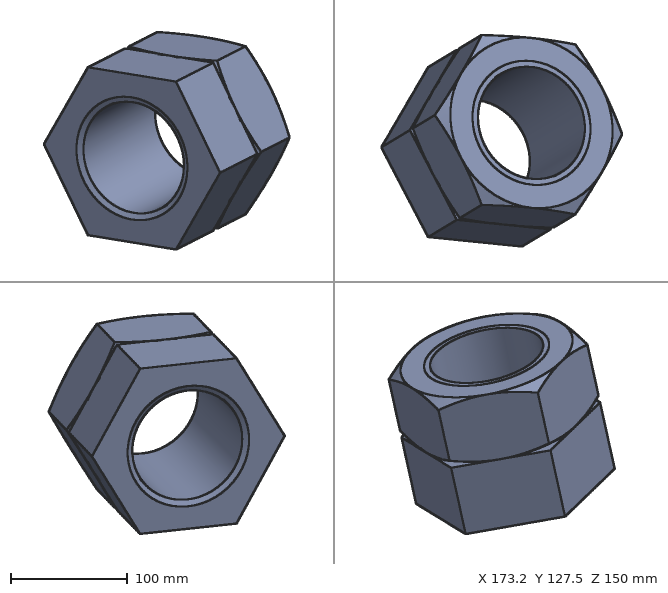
import cadquery as cq
import math

corner_width = 173.2
flat_width = corner_width * math.cos(math.radians(30))

total_length = 127.5
head_length = 64.6
nut_length = total_length - head_length

cone_slope = math.tan(math.radians(30))

bore_diameter = 98.7
countersink_diameter = 109.1
countersink_depth = (countersink_diameter - bore_diameter) / 2 * cone_slope

sleeve_wall = 5.2
sleeve_diameter = bore_diameter + 2 * sleeve_wall

crown_height = (corner_width - flat_width) / 2 * cone_slope

front_y = -total_length / 2
joint_y = front_y + head_length
rear_y = front_y + total_length


def spin_about_y(points):
    """Spin a closed (radius, y) outline about the Y axis."""
    return cq.Workplane("XY").polyline(points).close().revolve(360, (0, 0, 0), (0, 1, 0))


def hexagon(start_y, length):
    """Hexagonal prism running in +Y from start_y."""
    return (
        cq.Workplane("XZ", origin=(0, start_y, 0))
        .polygon(6, corner_width)
        .extrude(-length)
    )


def cylinder(diameter, start_y, length):
    """Round bar running in +Y from start_y."""
    return (
        cq.Workplane("XZ", origin=(0, start_y, 0))
        .circle(diameter / 2)
        .extrude(-length)
    )


def bore_cutter():
    """Through bore with a countersink at the front face."""
    bore_radius = bore_diameter / 2
    return spin_about_y([
        (0, front_y),
        (countersink_diameter / 2, front_y),
        (bore_radius, front_y + countersink_depth),
        (bore_radius, rear_y),
        (0, rear_y),
    ])


def crown_envelope():
    """Round blank whose two conical ends chamfer the corners of the nut."""
    face_radius = flat_width / 2
    corner_radius = corner_width / 2
    return spin_about_y([
        (0, joint_y),
        (face_radius, joint_y),
        (corner_radius, joint_y + crown_height),
        (corner_radius, rear_y - crown_height),
        (face_radius, rear_y),
        (0, rear_y),
    ])


def make_hex_fitting():
    """Sharp-edged hexagon head with a sleeve behind it, bored right through."""
    head = hexagon(front_y, head_length)
    sleeve = cylinder(sleeve_diameter, joint_y, nut_length)
    return head.union(sleeve).cut(bore_cutter())


def make_crowned_nut():
    """Nut around the sleeve, with its corners chamfered on both faces."""
    blank = hexagon(joint_y, nut_length).intersect(crown_envelope())
    return blank.cut(cylinder(sleeve_diameter, joint_y, nut_length))


hex_fitting = make_hex_fitting()
crowned_nut = make_crowned_nut()

result = cq.Compound.makeCompound([hex_fitting.solids().val(), crowned_nut.solids().val()])